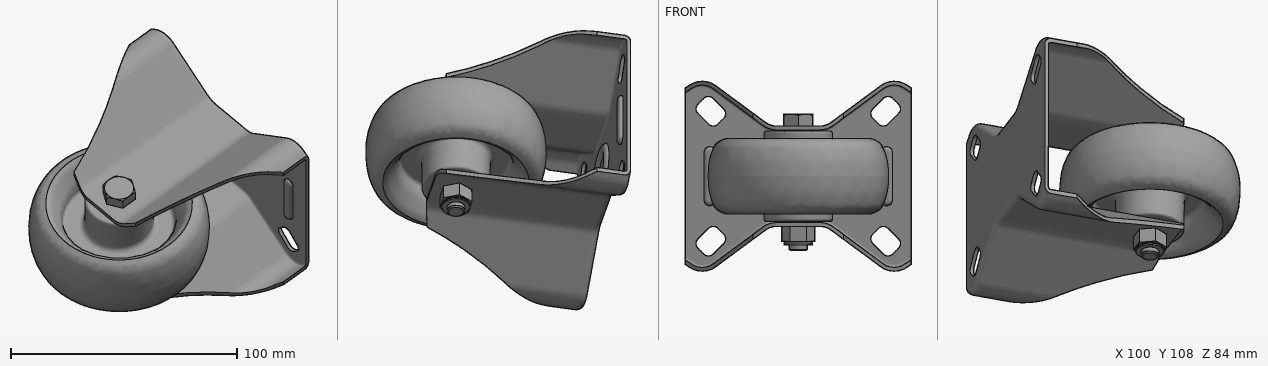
import cadquery as cq
import math


WHEEL_RADIUS = 40.0
WHEEL_HALF_WIDTH = 16.6
TREAD_POINTS = [(38.5, 10.4), (36.3, 14.5)]
RIM_RADIUS = 32.4
RIM_SLOPE = 0.4
DISH_POINT = (27.9, 11.9)
DISH_RADIUS = 25.0
FLOOR_RADIUS = 23.1
DISH_FILLET = DISH_RADIUS - FLOOR_RADIUS
HUB_FOOT_RADIUS = 15.2
HUB_TIP_RADIUS = 15.1
HUB_FILLET = 2.5
HUB_EDGE_ROUND = 1.1
HUB_HALF_LENGTH = 20.0
WEB_HALF_THICKNESS = 2.6

SHEET = 1.7
PLATE_BACK_Y = 68.0
PLATE_HALF_WIDTH = 50.0
ARM_OUTER_Z = 22.2
ARM_INNER_Z = ARM_OUTER_Z - SHEET
BEND_INNER_RADIUS = 1.1
BEND_OUTER_RADIUS = BEND_INNER_RADIUS + SHEET
CORNER_X = 42.4
CORNER_TOP_Z = 42.0
CORNER_RADIUS = 10.0
CORNER_Z = CORNER_TOP_Z - CORNER_RADIUS
EDGE_ANGLE = math.radians(33.4)
NECK_X = 9.7
NECK_RADIUS = 8.0
NECK_Z = ARM_OUTER_Z + NECK_RADIUS
ARM_SHOULDER = (PLATE_HALF_WIDTH, 52.8)
ARM_WAIST = (36.4, 30.2)
ARM_FLANK = (27.0, 11.0)
ARM_TIP_CORNER = (20.0, -8.6)
ARM_TIP_BEND = (14.7, -10.2)
ARM_TIP = (NECK_X, -11.2)

SLOT_X = 38.7
SLOT_Z = 28.7
SLOT_LENGTH = 12.4
SLOT_WIDTH = 9.4
SLOT_CORNER = 2.9

BEAD_HEIGHT = 1.8
BEAD_WIDTH = 5.1
BEAD_ROUND = 1.7
BEAD_LENGTH = 26.1
BEAD_X = 39.1
RING_RADIUS = 10.7

BOLT_RADIUS = 4.0
SLEEVE_RADIUS = 6.0
HEAD_FLATS = 13.0
HEAD_HEIGHT = 5.2
BOLT_TIP_Z = -32.9
BOLT_TIP_CHAMFER = 0.6
NUT_FLATS = 12.7
NUT_HEIGHT = 6.6
COLLAR_RADIUS = 6.3
COLLAR_NECK_RADIUS = 5.8
COLLAR_HEIGHT = 1.5


def cylinder(radius, z_low, z_high):
    return cq.Workplane("XY").workplane(offset=z_low).circle(radius).extrude(z_high - z_low)


def hexagon(flats, z_low, height):
    """Hexagonal prism along Z with two corners on the X axis."""
    corners = flats / math.cos(math.pi / 6)
    return cq.Workplane("XY").workplane(offset=z_low).polygon(6, corners).extrude(height)


def wheel_body():
    rim = (RIM_RADIUS, WHEEL_HALF_WIDTH)
    dish_bottom = WEB_HALF_THICKNESS + DISH_FILLET
    foot_z = WEB_HALF_THICKNESS + HUB_FILLET
    edge_z = HUB_HALF_LENGTH - HUB_EDGE_ROUND
    half = (
        cq.Workplane("XZ")
        .moveTo(SLEEVE_RADIUS, 0)
        .lineTo(WHEEL_RADIUS, 0)
        .spline(TREAD_POINTS + [rim], tangents=[(0, 1), (-1, RIM_SLOPE)], includeCurrent=True)
        .spline(
            [DISH_POINT, (DISH_RADIUS, dish_bottom)],
            tangents=[(-1, -RIM_SLOPE), (0, -1)],
            includeCurrent=True,
        )
        .tangentArcPoint((FLOOR_RADIUS, WEB_HALF_THICKNESS), relative=False)
        .lineTo(HUB_FOOT_RADIUS + HUB_FILLET, WEB_HALF_THICKNESS)
        .tangentArcPoint((HUB_FOOT_RADIUS, foot_z), relative=False)
        .lineTo(HUB_TIP_RADIUS, edge_z)
        .tangentArcPoint((HUB_TIP_RADIUS - HUB_EDGE_ROUND, HUB_HALF_LENGTH), relative=False)
        .lineTo(SLEEVE_RADIUS, HUB_HALF_LENGTH)
        .close()
        .revolve(360, (0, 0, 0), (0, 1, 0))
    )
    return half.union(half.mirror("XY"))


def plate_block(inset, half_width, back_y, front_y):
    """Prism along Y with the hourglass outline of the bracket, moved inward by inset."""
    corner = CORNER_RADIUS - inset
    neck = NECK_RADIUS + inset
    span_x = CORNER_X - NECK_X
    span_z = CORNER_Z - NECK_Z
    slope = math.asin((corner + neck) / math.hypot(span_x, span_z)) + math.atan2(span_z, span_x)

    def on_corner(angle):
        return (CORNER_X + corner * math.sin(angle), CORNER_Z + corner * math.cos(angle))

    def on_neck(angle):
        return (NECK_X + neck * math.sin(angle), NECK_Z - neck * math.cos(angle))

    corner_end = on_corner(EDGE_ANGLE)
    edge_z = corner_end[1] - (half_width - corner_end[0]) * math.tan(EDGE_ANGLE)
    quarter = (
        cq.Workplane("XZ", origin=(0, back_y, 0))
        .lineTo(0, NECK_Z - neck)
        .lineTo(*on_neck(0))
        .threePointArc(on_neck(slope / 2), on_neck(slope))
        .lineTo(*on_corner(-slope))
        .threePointArc(on_corner(0), corner_end)
        .lineTo(half_width, edge_z)
        .lineTo(half_width, 0)
        .close()
        .extrude(back_y - front_y)
    )
    half = quarter.union(quarter.mirror("YZ"))
    return half.union(half.mirror("XY")).clean()


def arm_trim():
    """Plan outline of the bracket, tall enough to cover both arms."""
    depth = 2 * CORNER_TOP_Z
    half = (
        cq.Workplane("XY", origin=(0, 0, -depth / 2))
        .moveTo(0, PLATE_BACK_Y)
        .lineTo(PLATE_HALF_WIDTH, PLATE_BACK_Y)
        .lineTo(*ARM_SHOULDER)
        .lineTo(*ARM_WAIST)
        .threePointArc(ARM_FLANK, ARM_TIP_CORNER)
        .lineTo(*ARM_TIP_BEND)
        .lineTo(*ARM_TIP)
        .lineTo(0, ARM_TIP[1])
        .close()
        .extrude(depth)
    )
    return half.union(half.mirror("YZ")).clean()


def mounting_slots(plate_front_y):
    slots = cq.Workplane("XY")
    for side in (-1, 1):
        for level in (-1, 1):
            slot = (
                cq.Workplane("XZ", origin=(side * SLOT_X, PLATE_BACK_Y, level * SLOT_Z))
                .transformed(rotate=(0, 0, 45 * side * level))
                .rect(SLOT_LENGTH, SLOT_WIDTH)
                .extrude(PLATE_BACK_Y - plate_front_y)
                .edges("|Y")
                .fillet(SLOT_CORNER)
            )
            slots = slots.add(slot)
    return slots.combine()


def beads(plate_front_y):
    face = cq.Workplane("XZ", origin=(0, plate_front_y, 0))
    straight = (
        face.pushPoints([(-BEAD_X, 0), (BEAD_X, 0)])
        .slot2D(BEAD_LENGTH, BEAD_WIDTH, 90)
        .extrude(BEAD_HEIGHT)
        .faces("<Y")
        .edges()
        .fillet(BEAD_ROUND)
    )
    inner_foot = (RING_RADIUS - BEAD_WIDTH / 2, plate_front_y)
    outer_foot = (RING_RADIUS + BEAD_WIDTH / 2, plate_front_y)
    crest = (RING_RADIUS, plate_front_y - BEAD_HEIGHT)
    ring = (
        cq.Workplane("XY")
        .moveTo(*inner_foot)
        .threePointArc(crest, outer_foot)
        .close()
        .revolve(360, (0, 0, 0), (0, 1, 0))
    )
    return straight, ring


def bracket_body():
    plate_front_y = PLATE_BACK_Y - SHEET
    tip_y = ARM_TIP[1]
    outside = (
        plate_block(0, PLATE_HALF_WIDTH, PLATE_BACK_Y, tip_y)
        .faces(">Y")
        .edges("not(|Z)")
        .fillet(BEND_OUTER_RADIUS)
    )
    cavity = (
        plate_block(SHEET, PLATE_HALF_WIDTH + SHEET, plate_front_y, tip_y - SHEET)
        .faces(">Y")
        .edges("not(|Z)")
        .fillet(BEND_INNER_RADIUS)
    )
    bracket = outside.cut(cavity).intersect(arm_trim())
    bracket = bracket.cut(mounting_slots(plate_front_y))
    for bead in beads(plate_front_y):
        bracket = bracket.union(bead)
    return bracket.cut(cylinder(BOLT_RADIUS, -ARM_OUTER_Z, ARM_OUTER_Z))


def sleeve_body():
    return cylinder(SLEEVE_RADIUS, -ARM_INNER_Z, ARM_INNER_Z).cut(
        cylinder(BOLT_RADIUS, -ARM_INNER_Z, ARM_INNER_Z)
    )


def bolt_body():
    head_top = ARM_OUTER_Z + HEAD_HEIGHT
    corner_radius = HEAD_FLATS / 2 / math.cos(math.pi / 6)
    flat_radius = HEAD_FLATS / 2
    drop = (corner_radius - flat_radius) * math.tan(math.pi / 6)
    crown = cylinder(corner_radius, ARM_OUTER_Z, head_top).faces(">Z").chamfer(drop, corner_radius - flat_radius)
    head = hexagon(HEAD_FLATS, ARM_OUTER_Z, HEAD_HEIGHT).rotate((0, 0, 0), (0, 0, 1), 30).intersect(crown)
    shank = cylinder(BOLT_RADIUS, BOLT_TIP_Z, ARM_OUTER_Z).faces("<Z").chamfer(BOLT_TIP_CHAMFER)
    return head.union(shank)


def nut_body():
    nut_end = -ARM_OUTER_Z - NUT_HEIGHT
    collar_end = nut_end - COLLAR_HEIGHT
    collar = (
        cq.Workplane("XZ")
        .moveTo(0, nut_end)
        .lineTo(COLLAR_NECK_RADIUS, nut_end)
        .lineTo(COLLAR_RADIUS, nut_end - COLLAR_HEIGHT / 2)
        .lineTo(COLLAR_RADIUS, collar_end)
        .lineTo(0, collar_end)
        .close()
        .revolve(360, (0, 0, 0), (0, 1, 0))
    )
    nut = hexagon(NUT_FLATS, nut_end, NUT_HEIGHT).union(collar)
    return nut.cut(cylinder(BOLT_RADIUS, collar_end, -ARM_OUTER_Z))


bracket = bracket_body()
wheel = wheel_body()
sleeve = sleeve_body()
bolt = bolt_body()
nut = nut_body()

bodies = [bracket, wheel, sleeve, bolt, nut]
result = cq.Compound.makeCompound([body.solids().val() for body in bodies])